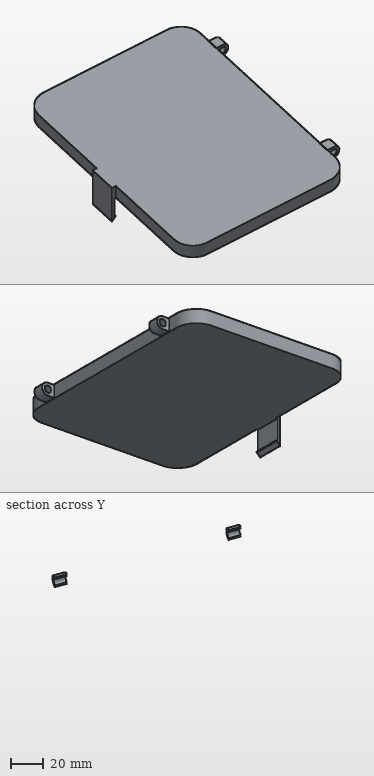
import cadquery as cq

plate_length = 170.0
plate_depth = 125.0
plate_thickness = 10.0
corner_radius = 15.0

lug_width = 8.0
lug_height = 9.0
lug_reach = 9.5
lug_spacing = 115.6
pin_diameter = 5.0

latch_width = 20.0
latch_height = 28.5
latch_reach = 3.0
latch_thickness = 2.0
barb_size = 3.0

back_y = plate_depth / 2
front_y = -plate_depth / 2


def make_plate():
    plate = cq.Workplane("XY").box(
        plate_length, plate_depth, plate_thickness, centered=(True, True, False)
    )
    return plate.edges("|Z").fillet(corner_radius)


def make_lug(center_x):
    """Round-ended lug with a pin hole along X, level with the middle of the plate."""
    radius = lug_height / 2
    axis_y = back_y + lug_reach - radius
    axis_z = plate_thickness / 2
    start_x = center_x - lug_width / 2
    lug = (
        cq.Workplane("YZ", origin=(start_x, 0, 0))
        .moveTo(back_y, axis_z - radius)
        .lineTo(axis_y, axis_z - radius)
        .threePointArc((axis_y + radius, axis_z), (axis_y, axis_z + radius))
        .lineTo(back_y, axis_z + radius)
        .close()
        .extrude(lug_width)
    )
    pin_hole = (
        cq.Workplane("YZ", origin=(start_x, axis_y, axis_z))
        .circle(pin_diameter / 2)
        .extrude(lug_width)
    )
    return lug.cut(pin_hole)


def make_latch():
    """Thin tongue hanging from the front edge, ending in a sloped barb facing the back."""
    outer_y = front_y - latch_reach
    inner_y = outer_y + latch_thickness
    tip_z = plate_thickness - latch_height
    barb_z = tip_z + barb_size
    profile = [
        (front_y, plate_thickness),
        (outer_y, plate_thickness),
        (outer_y, tip_z),
        (outer_y + barb_size, barb_z),
        (inner_y, barb_z),
        (inner_y, 0),
        (front_y, 0),
    ]
    return (
        cq.Workplane("YZ", origin=(-latch_width / 2, 0, 0))
        .polyline(profile)
        .close()
        .extrude(latch_width)
    )


result = make_plate().union(make_latch())
for side in (-1, 1):
    result = result.union(make_lug(side * lug_spacing / 2))